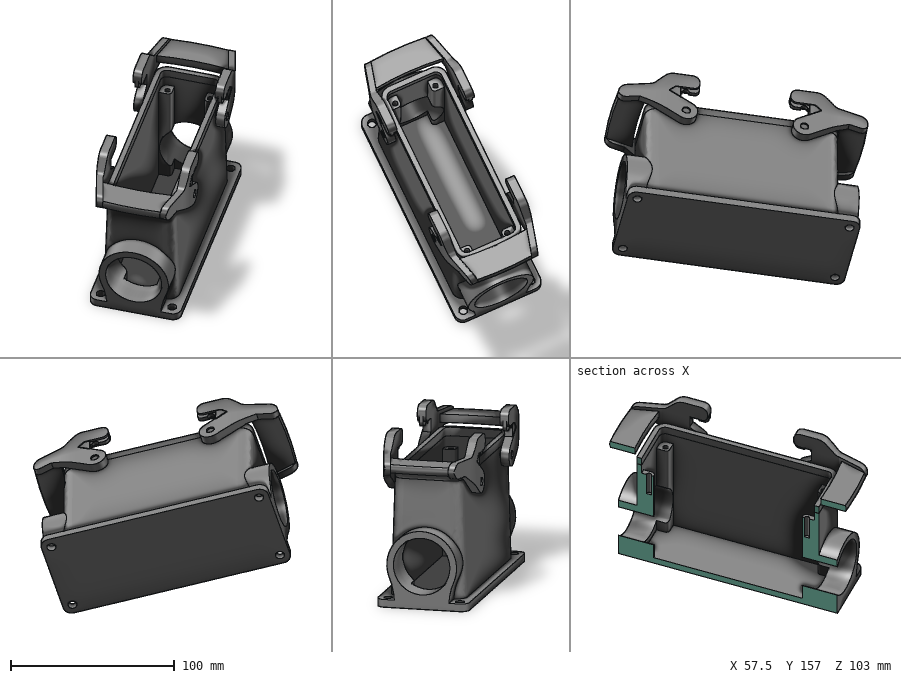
import cadquery as cq
import math


OVERALL_LENGTH = 157.0
OVERALL_HEIGHT = 103.0

PLATE_WIDTH = 57.5
PLATE_LENGTH = 144.1
PLATE_THICKNESS = 4.9
PLATE_CORNER_RADIUS = 5.3
MOUNT_HOLE_RADIUS = 2.7
MOUNT_HOLE_INSET = 6.1

WALL_FOOT_WIDTH = 48.0
COLLAR_WIDTH = 43.0
WALL_LENGTH = 120.0
WALL_CORNER_RADIUS = 7.4
WALL_TOP = 78.5
COLLAR_TOP = 83.8
COLLAR_THICKNESS = 3.3

NECK_RADIUS = 22.0
BORE_RADIUS = 17.7
BORE_HEIGHT = 26.8
NECK_FOOT_HALF_WIDTH = 17.1
NECK_FLARE_RADIUS = 37.4

CAVITY_WIDTH = COLLAR_WIDTH - 2 * COLLAR_THICKNESS
CAVITY_LENGTH = WALL_LENGTH - 2 * COLLAR_THICKNESS
CAVITY_CORNER_RADIUS = WALL_CORNER_RADIUS - COLLAR_THICKNESS
FLOOR_HEIGHT = PLATE_THICKNESS
POST_SIZE = 7.8
POST_TOP = 71.7
POST_EDGE_RADIUS = 2.4
SCREW_HOLE_RADIUS = 1.5
SCREW_HOLE_DEPTH = 15.7
SCREW_HOLE_INSET = 4.7

PIVOT_Y = 36.7
PIVOT_Z = 73.8
PIN_RADIUS = 2.5
PIN_ROOT_DEPTH = 1.5
PIN_INNER_END = COLLAR_WIDTH / 2 - PIN_ROOT_DEPTH
PIN_RECESS = 1.0
ARM_RADIUS = 7.0
ARM_ANGLE = math.radians(32)

HANDLE_Z = 88.2
HANDLE_RADIUS = 5.0
HANDLE_TIP_Y = 77.5
SHOULDER_Y = 56.8
SHOULDER_RADIUS = 4.7
CROWN_RADIUS = 7.8
HOOK_TIP_Y = 28.3
HOOK_RADIUS = 4.7
LIP_Z = 89.8
LIP_RADIUS = 3.1
NOTCH_RADIUS = 2.0
WEB_EDGE_Y = 40.0
LIP_OUTER_STEP = 1.3
LIP_INNER_STEP = 1.9
HOOK_BOTTOM = 92.6
HOOK_LOWER_RADIUS = 4.0
POCKET_DEPTH = 0.5
POCKET_CORNER_Z = 88.7
POCKET_CORNER_RADIUS = 2.4

LEVER_HALF_WIDTH = PLATE_WIDTH / 2
LEVER_THICKNESS = 5.5
BEND_Y = 48.7
BEND_RADIUS = 36.9
WING_ANGLE = math.radians(15)
WING_WIDTH = 4.2
WING_TIP_RADIUS = 1.1

BAR_THICKNESS = 5.2
BAR_INNER_Y = 61.5
BAR_BOW_CENTER_Y = -125.6

MARGIN = 1.5


def rounded_block(width, length, radius, bottom, top):
    """A box centred on the Z axis, with rounded vertical edges."""
    block = cq.Workplane("XY").workplane(offset=bottom).rect(width, length).extrude(top - bottom)
    return block.edges("|Z").fillet(radius)


def base_plate():
    plate = rounded_block(PLATE_WIDTH, PLATE_LENGTH, PLATE_CORNER_RADIUS, 0, PLATE_THICKNESS)
    hole_spacing_x = PLATE_WIDTH - 2 * MOUNT_HOLE_INSET
    hole_spacing_y = PLATE_LENGTH - 2 * MOUNT_HOLE_INSET
    holes = (
        cq.Workplane("XY")
        .rect(hole_spacing_x, hole_spacing_y, forConstruction=True)
        .vertices()
        .circle(MOUNT_HOLE_RADIUS)
        .extrude(PLATE_THICKNESS)
    )
    return plate.cut(holes)


def walls():
    """The outer block, which narrows in X from its foot to the collar."""
    foot = cq.Sketch().rect(WALL_FOOT_WIDTH, WALL_LENGTH).vertices().fillet(WALL_CORNER_RADIUS)
    head = cq.Sketch().rect(COLLAR_WIDTH, WALL_LENGTH).vertices().fillet(WALL_CORNER_RADIUS)
    raised_head = head.moved(cq.Location(cq.Vector(0, 0, WALL_TOP)))
    return cq.Workplane("XY").placeSketch(foot, raised_head).loft(ruled=True)


def cable_necks():
    """A round neck along Y on a foot that flares in tangent arcs, over the length of the plate."""
    reach = NECK_RADIUS + NECK_FLARE_RADIUS
    flare_x = NECK_FOOT_HALF_WIDTH + NECK_FLARE_RADIUS
    drop = math.sqrt(reach**2 - flare_x**2)
    flare_z = BORE_HEIGHT - drop
    tangent_x = NECK_RADIUS * flare_x / reach
    tangent_z = BORE_HEIGHT - NECK_RADIUS * drop / reach
    middle_angle = math.atan2(drop, flare_x) / 2
    middle_x = flare_x - NECK_FLARE_RADIUS * math.cos(middle_angle)
    middle_z = flare_z + NECK_FLARE_RADIUS * math.sin(middle_angle)
    return (
        cq.Workplane("XZ")
        .moveTo(-NECK_FOOT_HALF_WIDTH, 0)
        .lineTo(NECK_FOOT_HALF_WIDTH, 0)
        .lineTo(NECK_FOOT_HALF_WIDTH, flare_z)
        .threePointArc((middle_x, middle_z), (tangent_x, tangent_z))
        .threePointArc((0, BORE_HEIGHT + NECK_RADIUS), (-tangent_x, tangent_z))
        .threePointArc((-middle_x, middle_z), (-NECK_FOOT_HALF_WIDTH, flare_z))
        .close()
        .extrude(PLATE_LENGTH / 2, both=True)
    )


def cavity():
    return rounded_block(CAVITY_WIDTH, CAVITY_LENGTH, CAVITY_CORNER_RADIUS, FLOOR_HEIGHT, COLLAR_TOP)


def screw_posts():
    """Four posts in the corners of the cavity, each with a blind hole."""
    posts = cq.Workplane("XY").workplane(offset=FLOOR_HEIGHT)
    posts = posts.rect(CAVITY_WIDTH, CAVITY_LENGTH).extrude(POST_TOP - FLOOR_HEIGHT)
    gap_x = CAVITY_WIDTH - 2 * POST_SIZE
    gap_y = CAVITY_LENGTH - 2 * POST_SIZE
    for cross_x, cross_y in ((gap_x, CAVITY_LENGTH), (CAVITY_WIDTH, gap_y)):
        posts = posts.cut(cq.Workplane("XY").rect(cross_x, cross_y).extrude(POST_TOP))
    half_x = gap_x / 2
    half_y = gap_y / 2
    free_edges = cq.selectors.BoxSelector(
        (-half_x - MARGIN, -half_y - MARGIN, 0), (half_x + MARGIN, half_y + MARGIN, POST_TOP)
    )
    posts = posts.edges("|Z").edges(free_edges).fillet(POST_EDGE_RADIUS)
    holes = (
        cq.Workplane("XY")
        .workplane(offset=POST_TOP)
        .rect(CAVITY_WIDTH - 2 * SCREW_HOLE_INSET, CAVITY_LENGTH - 2 * SCREW_HOLE_INSET, forConstruction=True)
        .vertices()
        .circle(SCREW_HOLE_RADIUS)
        .extrude(-SCREW_HOLE_DEPTH)
    )
    return posts.cut(holes).intersect(cavity())


def cable_bore():
    bore = cq.Workplane("XZ").center(0, BORE_HEIGHT).circle(BORE_RADIUS)
    return bore.extrude(PLATE_LENGTH / 2, both=True)


def arm_point(along, across):
    """A point from the pivot: along the arm, outward and up, and across it, upward."""
    y = PIVOT_Y + along * math.cos(ARM_ANGLE) - across * math.sin(ARM_ANGLE)
    z = PIVOT_Z + along * math.sin(ARM_ANGLE) + across * math.cos(ARM_ANGLE)
    return y, z


def arm_edge_z(y, across):
    """The height at y of the arm edge that runs at the given distance from the arm's axis."""
    edge_y, edge_z = arm_point(0, across)
    return edge_z + (y - edge_y) * math.tan(ARM_ANGLE)


def arm_edge_y(z, across):
    edge_y, edge_z = arm_point(0, across)
    return edge_y + (z - edge_z) / math.tan(ARM_ANGLE)


def fillet_corner(body, y, z, radius):
    """Rounds the edge along X that passes nearest to (y, z)."""
    mid_x = body.val().Center().x
    nearest = cq.selectors.NearestToPointSelector((mid_x, y, z))
    return body.edges("|X").edges(nearest).fillet(radius)


def side_profile():
    """The side plate's outline: arm, handle and hook, as a block through its whole width."""
    handle_top = HANDLE_Z + HANDLE_RADIUS
    handle_bottom = HANDLE_Z - HANDLE_RADIUS
    handle_end = HANDLE_TIP_Y - HANDLE_RADIUS
    crown_y = SHOULDER_Y - (OVERALL_HEIGHT - handle_top)
    profile = (
        cq.Workplane("YZ")
        .moveTo(*arm_point(0, -ARM_RADIUS))
        .lineTo(arm_edge_y(handle_bottom, -ARM_RADIUS), handle_bottom)
        .lineTo(handle_end, handle_bottom)
        .threePointArc((HANDLE_TIP_Y, HANDLE_Z), (handle_end, handle_top))
        .lineTo(SHOULDER_Y, handle_top)
        .lineTo(crown_y, OVERALL_HEIGHT)
        .lineTo(HOOK_TIP_Y, OVERALL_HEIGHT)
        .lineTo(HOOK_TIP_Y, LIP_Z)
        .lineTo(PIVOT_Y - NOTCH_RADIUS, LIP_Z)
        .threePointArc((PIVOT_Y, LIP_Z + NOTCH_RADIUS), (PIVOT_Y + NOTCH_RADIUS, LIP_Z))
        .lineTo(WEB_EDGE_Y, LIP_Z)
        .lineTo(WEB_EDGE_Y, arm_edge_z(WEB_EDGE_Y, ARM_RADIUS))
        .lineTo(*arm_point(0, ARM_RADIUS))
        .threePointArc(arm_point(-ARM_RADIUS, 0), arm_point(0, -ARM_RADIUS))
        .close()
        .extrude(LEVER_HALF_WIDTH)
    )
    profile = fillet_corner(profile, SHOULDER_Y, handle_top, SHOULDER_RADIUS)
    profile = fillet_corner(profile, crown_y, OVERALL_HEIGHT, CROWN_RADIUS)
    profile = fillet_corner(profile, HOOK_TIP_Y, OVERALL_HEIGHT, HOOK_RADIUS)
    return fillet_corner(profile, HOOK_TIP_Y, LIP_Z, LIP_RADIUS)


def wing_outer_x(y):
    """X of the wing's outer face, at or beyond the end of the bend."""
    bend_end_x = LEVER_HALF_WIDTH - BEND_RADIUS * (1 - math.cos(WING_ANGLE))
    bend_end_y = BEND_Y + BEND_RADIUS * math.sin(WING_ANGLE)
    return bend_end_x - (y - bend_end_y) * math.tan(WING_ANGLE)


def side_footprint():
    """The side plate from above: straight, then bent inward into the handle wing."""
    inner_x = LEVER_HALF_WIDTH - LEVER_THICKNESS
    tip_x = wing_outer_x(HANDLE_TIP_Y)
    inner_tip_x = tip_x - WING_WIDTH
    inner_bend_y = HANDLE_TIP_Y - (inner_x - inner_tip_x) / math.tan(WING_ANGLE)
    bend_end_y = BEND_Y + BEND_RADIUS * math.sin(WING_ANGLE)
    bend_middle_x = LEVER_HALF_WIDTH - BEND_RADIUS * (1 - math.cos(WING_ANGLE / 2))
    bend_middle_y = BEND_Y + BEND_RADIUS * math.sin(WING_ANGLE / 2)
    footprint = (
        cq.Workplane("XY")
        .moveTo(inner_x, 0)
        .lineTo(LEVER_HALF_WIDTH, 0)
        .lineTo(LEVER_HALF_WIDTH, BEND_Y)
        .threePointArc((bend_middle_x, bend_middle_y), (wing_outer_x(bend_end_y), bend_end_y))
        .lineTo(tip_x, HANDLE_TIP_Y)
        .lineTo(inner_tip_x, HANDLE_TIP_Y)
        .lineTo(inner_x, inner_bend_y)
        .close()
        .extrude(OVERALL_HEIGHT)
    )
    outer_tip = cq.selectors.NearestToPointSelector((tip_x, HANDLE_TIP_Y, OVERALL_HEIGHT / 2))
    return footprint.edges("|Z").edges(outer_tip).fillet(WING_TIP_RADIUS)


def web_pocket():
    """The shallow pocket in the outer face, between arm and hook, that leaves the web thinner."""
    corner_y = arm_edge_y(POCKET_CORNER_Z, ARM_RADIUS)
    slope_end_y = corner_y - (HOOK_BOTTOM - POCKET_CORNER_Z)
    pocket = (
        cq.Workplane("YZ")
        .workplane(offset=LEVER_HALF_WIDTH - POCKET_DEPTH)
        .moveTo(corner_y, POCKET_CORNER_Z)
        .lineTo(slope_end_y, HOOK_BOTTOM)
        .lineTo(WEB_EDGE_Y, HOOK_BOTTOM)
        .lineTo(WEB_EDGE_Y, arm_edge_z(WEB_EDGE_Y, ARM_RADIUS))
        .close()
        .extrude(POCKET_DEPTH)
    )
    return fillet_corner(pocket, slope_end_y, HOOK_BOTTOM, POCKET_CORNER_RADIUS)


def lip_step(start_x, depth):
    """A cutter below the hook's rounded lower edge that steps one face of the lip back."""
    outside_y = HOOK_TIP_Y - MARGIN
    below_z = LIP_Z - MARGIN
    corner_y = HOOK_TIP_Y + HOOK_LOWER_RADIUS
    corner_z = HOOK_BOTTOM + HOOK_LOWER_RADIUS
    diagonal = HOOK_LOWER_RADIUS * math.sqrt(0.5)
    return (
        cq.Workplane("YZ")
        .workplane(offset=start_x)
        .moveTo(WEB_EDGE_Y, HOOK_BOTTOM)
        .lineTo(corner_y, HOOK_BOTTOM)
        .threePointArc((corner_y - diagonal, corner_z - diagonal), (HOOK_TIP_Y, corner_z))
        .lineTo(outside_y, corner_z)
        .lineTo(outside_y, below_z)
        .lineTo(WEB_EDGE_Y, below_z)
        .close()
        .extrude(depth)
    )


def lever_pin():
    """The pin from inside the housing wall to just short of the lever's outer face."""
    pin = cq.Workplane("YZ").workplane(offset=PIN_INNER_END).center(PIVOT_Y, PIVOT_Z).circle(PIN_RADIUS)
    return pin.extrude(LEVER_HALF_WIDTH - PIN_RECESS - PIN_INNER_END)


def pin_hole():
    hole = cq.Workplane("YZ").center(PIVOT_Y, PIVOT_Z).circle(PIN_RADIUS)
    return hole.extrude(LEVER_HALF_WIDTH)


def lever_side():
    """The side plate at +X with its pin."""
    side = side_profile().intersect(side_footprint())
    side = side.cut(web_pocket())
    side = side.cut(lip_step(LEVER_HALF_WIDTH - LIP_OUTER_STEP, LIP_OUTER_STEP))
    side = side.cut(lip_step(LEVER_HALF_WIDTH - LEVER_THICKNESS, LIP_INNER_STEP))
    return side.cut(pin_hole()).union(lever_pin())


def lever_bar():
    """The bar between the wings: slightly bowed from above, with a nose as round as the handle tips."""
    top = HANDLE_Z + BAR_THICKNESS / 2
    bottom = HANDLE_Z - BAR_THICKNESS / 2
    nose_y = OVERALL_LENGTH / 2
    nose_edge_y = nose_y - HANDLE_RADIUS + math.sqrt(HANDLE_RADIUS**2 - (BAR_THICKNESS / 2) ** 2)
    ring = (
        cq.Workplane("YZ")
        .moveTo(BAR_INNER_Y, bottom)
        .lineTo(nose_edge_y, bottom)
        .threePointArc((nose_y, HANDLE_Z), (nose_edge_y, top))
        .lineTo(BAR_INNER_Y, top)
        .close()
        .revolve(360, (BAR_BOW_CENTER_Y, 0), (BAR_BOW_CENTER_Y, 1))
    )
    near_y = BAR_INNER_Y - MARGIN
    far_y = nose_y + MARGIN
    near_x = wing_outer_x(near_y) - WING_WIDTH
    far_x = wing_outer_x(far_y) - WING_WIDTH
    corners = [(-near_x, near_y), (near_x, near_y), (far_x, far_y), (-far_x, far_y)]
    between_wings = cq.Workplane("XY").polyline(corners).close().extrude(OVERALL_HEIGHT)
    return ring.intersect(between_wings)


def lever():
    """The lever at +Y."""
    side = lever_side()
    return side.union(lever_bar()).union(side.mirror("YZ"))


def build_housing():
    """The housing with both levers, whose pins are rooted in its walls."""
    shell = base_plate().union(walls()).union(cable_necks()).cut(cavity())
    shell = shell.union(screw_posts()).cut(cable_bore())
    plus_y_lever = lever()
    return shell.union(plus_y_lever).union(plus_y_lever.mirror("XZ"))


def build_collar():
    """The straight ring that carries on the walls around the opening."""
    ring = rounded_block(COLLAR_WIDTH, WALL_LENGTH, WALL_CORNER_RADIUS, WALL_TOP, COLLAR_TOP)
    return ring.cut(cavity())


housing = build_housing()
collar = build_collar()

result = cq.Compound.makeCompound([housing.val(), collar.val()])